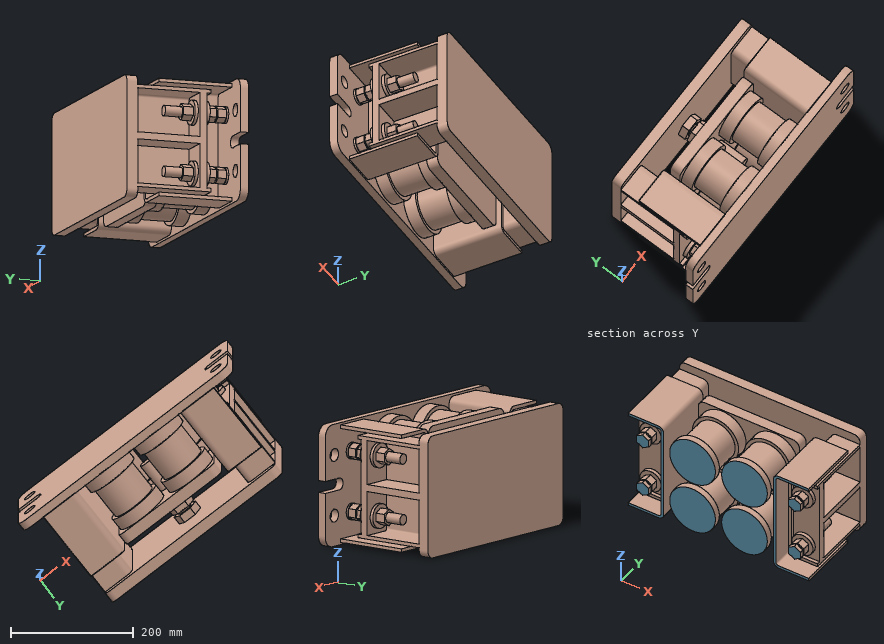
import cadquery as cq

length = 432.0
depth = 197.0
height = 203.5
mount_pitch = 101.0

base_thickness = 14.5
base_corner_radius = 19.0
hole_diameter = 21.0
hole_edge_distance = 23.7
slot_width = 19.5
slot_depth = 46.0

rear_length = 351.5
rear_thickness = 19.0
rear_corner_radius = 12.5
rear_inner_y = depth - rear_thickness

outer_channel_height = 195.5
outer_channel_width = 69.5
outer_channel_end_y = 141.0
inner_channel_height = 170.0
inner_channel_width = 56.5
inner_channel_start_y = 51.0
channel_wall = 6.0
channel_outer_radius = 11.5
channel_inner_radius = 4.5

cross_wall_start_y = 57.5
cross_wall_thickness = 12.5
cross_wall_end_y = cross_wall_start_y + cross_wall_thickness
shelf_thickness = 11.5

stud_x = 147.5
stud_diameter = 17.3
stud_end_y = 122.5
stud_hex_corners = 27.5
stud_collar_thickness = 3.5
stud_head_thickness = 14.5
stud_nut_start_y = 35.0
front_washer_gap = 1.5
front_washer_thickness = 7.0
rear_washer_thickness = 5.5
washer_diameter = 41.0
rear_nut_thickness = 17.3

pressure_length = 197.0
pressure_height = 195.5
pressure_thickness = 20.0
pressure_corner_radius = 13.5
pressure_start_y = 115.7
pressure_end_y = pressure_start_y + pressure_thickness
bobbin_diameter = 76.5
bobbin_rim_diameter = 90.0
bobbin_rim_thickness = 22.0

screw_diameter = 25.5
screw_start_y = 62.5
screw_hex_corners = 44.0
screw_head_thickness = 14.0
screw_nut_end_y = 160.0


def section(start_y):
    """Workplane with local axes X and Z, whose extrusions run towards +Y from start_y."""
    return cq.Workplane(cq.Plane(origin=(0, start_y, 0), xDir=(1, 0, 0), normal=(0, -1, 0)))


def block(x_size, z_size, start_y, end_y, x=0.0, z=0.0):
    return section(start_y).center(x, z).rect(x_size, z_size).extrude(start_y - end_y)


def rounded_plate(x_size, z_size, start_y, end_y, radius):
    return block(x_size, z_size, start_y, end_y).edges("|Y").fillet(radius)


def disc(diameter, start_y, end_y, x=0.0, z=0.0):
    return section(start_y).center(x, z).circle(diameter / 2).extrude(start_y - end_y)


def hexagon(corners, start_y, end_y, x=0.0, z=0.0, turn=0.0):
    """Hexagonal prism along Y; with no turn two of its corners lie along X."""
    prism = section(start_y).polygon(6, corners).extrude(start_y - end_y)
    return prism.rotate((0, 0, 0), (0, 1, 0), turn).translate((x, 0, z))


def mirrored_in_x(body):
    return body.union(body.mirror("YZ"))


def make_base_plate():
    plate = rounded_plate(length, height, 0, base_thickness, base_corner_radius)
    hole_x = length / 2 - hole_edge_distance
    slot_length = 2 * slot_depth
    for side in (-1, 1):
        for level in (-1, 1):
            plate = plate.cut(disc(hole_diameter, 0, base_thickness, side * hole_x, level * mount_pitch / 2))
        slot = section(0).center(side * length / 2, 0).slot2D(slot_length, slot_width)
        plate = plate.cut(slot.extrude(-base_thickness))
    return plate


def make_channel(width, channel_height, start_y, end_y):
    """Left-hand channel with its web on the +X side and its flanges ending at the rear plate edge."""
    center_x = (width - rear_length) / 2
    body = block(width, channel_height, start_y, end_y, center_x)
    body = body.edges("|Y and >X").fillet(channel_outer_radius)
    cavity = block(width, channel_height - 2 * channel_wall, start_y, end_y, center_x - channel_wall)
    cavity = cavity.edges("|Y and >X").fillet(channel_inner_radius)
    return body.cut(cavity)


def make_end_frame():
    """Both left-hand channels, with the cross wall and the shelf inside the inner one."""
    outer_channel = make_channel(
        outer_channel_width, outer_channel_height, base_thickness, outer_channel_end_y
    )
    inner_channel = make_channel(
        inner_channel_width, inner_channel_height, inner_channel_start_y, rear_inner_y
    )
    divider_width = inner_channel_width - channel_wall
    divider_x = (divider_width - rear_length) / 2
    cross_wall_height = inner_channel_height - 2 * channel_wall
    cross_wall = block(divider_width, cross_wall_height, cross_wall_start_y, cross_wall_end_y, divider_x)
    cross_wall = cross_wall.edges("|Y and >X").fillet(channel_inner_radius)
    shelf = block(divider_width, shelf_thickness, cross_wall_end_y, rear_inner_y, divider_x)
    return outer_channel.union(inner_channel).union(cross_wall).union(shelf)


def make_side_stud(x, z):
    corner_turn = 90
    collar_end_y = base_thickness + stud_collar_thickness
    head_end_y = collar_end_y + stud_head_thickness
    front_washer_end_y = cross_wall_start_y - front_washer_gap
    front_washer_start_y = front_washer_end_y - front_washer_thickness
    rear_washer_end_y = cross_wall_end_y + rear_washer_thickness
    rear_nut_end_y = rear_washer_end_y + rear_nut_thickness
    stud = disc(stud_diameter, base_thickness, stud_end_y, x, z)
    stud = stud.union(disc(stud_hex_corners, base_thickness, collar_end_y, x, z))
    stud = stud.union(hexagon(stud_hex_corners, collar_end_y, head_end_y, x, z, corner_turn))
    stud = stud.union(hexagon(stud_hex_corners, stud_nut_start_y, front_washer_start_y, x, z, corner_turn))
    stud = stud.union(disc(washer_diameter, front_washer_start_y, front_washer_end_y, x, z))
    stud = stud.union(disc(washer_diameter, cross_wall_end_y, rear_washer_end_y, x, z))
    return stud.union(hexagon(stud_hex_corners, rear_washer_end_y, rear_nut_end_y, x, z, corner_turn))


def make_bobbin(x, z):
    bobbin = disc(bobbin_diameter, base_thickness, pressure_start_y, x, z)
    front_rim = disc(bobbin_rim_diameter, base_thickness, base_thickness + bobbin_rim_thickness, x, z)
    rear_rim = disc(bobbin_rim_diameter, pressure_start_y - bobbin_rim_thickness, pressure_start_y, x, z)
    return bobbin.union(front_rim).union(rear_rim)


def make_screw():
    screw = disc(screw_diameter, screw_start_y, rear_inner_y)
    nut = hexagon(screw_hex_corners, pressure_end_y, screw_nut_end_y)
    head = hexagon(screw_hex_corners, rear_inner_y - screw_head_thickness, rear_inner_y)
    return screw.union(nut).union(head)


end_assembly = make_end_frame()
for level in (-1, 1):
    end_assembly = end_assembly.union(make_side_stud(-stud_x, level * mount_pitch / 2))

result = make_base_plate()
result = result.union(rounded_plate(rear_length, height, rear_inner_y, depth, rear_corner_radius))
result = result.union(mirrored_in_x(end_assembly))
result = result.union(
    rounded_plate(pressure_length, pressure_height, pressure_start_y, pressure_end_y, pressure_corner_radius)
)
for side in (-1, 1):
    for level in (-1, 1):
        result = result.union(make_bobbin(side * mount_pitch / 2, level * mount_pitch / 2))
result = result.union(make_screw())